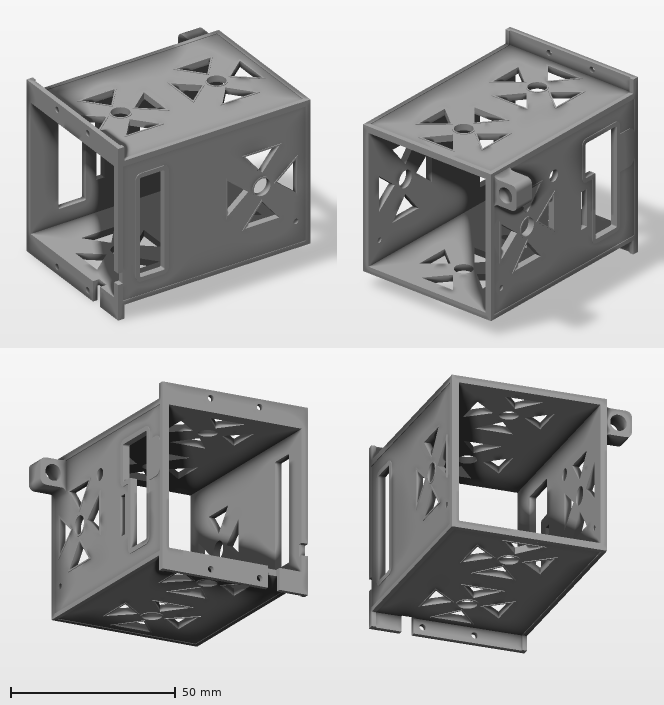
import cadquery as cq
import math


LENGTH = 70.0
TUBE = 50.6
OPENING = 46.1
FLANGE_HEIGHT = 60.35
FLANGE_THICKNESS = 2.25
FLANGE_HOLE_D = 2.0
FLANGE_HOLE_X = 8.5
FLANGE_HOLE_Z = 27.6

HALF_LENGTH = LENGTH / 2
HALF_TUBE = TUBE / 2
WALL = (TUBE - OPENING) / 2
OVERHANG = (FLANGE_HEIGHT - TUBE) / 2

NOTCH_WIDTH = 4.0
BOTTOM_NOTCH_X = 13.4
SIDE_NOTCH_Z = -15.7

RECESS_DEPTH = 0.2
END_RIM = 1.7
SIDE_RIM = 1.5
SIDE_PANEL_TOP_RIM = 1.95
RECESS_END = HALF_LENGTH - END_RIM

VENT_HOLE_D = 6.0
VENT_LIP = 0.5
VENT_BASE = 12.6
VENT_APEX = 5.1
VENT_HALF_WIDTH = 6.15
VENT_Y = LENGTH / 4

LOCATING_HOLE_D = 1.8
LOCATING_HOLE_Y = 29.9
LOCATING_HOLE_Z = -16.0
ROUND_HOLE_D = 4.0
ROUND_HOLE_Y = 4.8
ROUND_HOLE_Z = 12.4
SLOT_WIDTH = 2.9
SLOT_HEIGHT = 13.0
SLOT_Y = -9.6
SLOT_Z = -5.2

WINDOW_FRONT = -24.9
PLAIN_WINDOW_FRONT = -27.0
WINDOW_STEP = -14.85
WINDOW_BACK = -10.1
PLAIN_WINDOW_BACK = -18.05
WINDOW_TOP = 17.4
WINDOW_LEDGE = 5.4
WINDOW_BOTTOM = -17.6
WINDOW_CORNER_R = 0.5
WINDOW_LIP = 1.55

TAB_HEIGHT = 13.0
TAB_Z = 7.4
TAB_END_R = 2.6

LUG_REACH = 8.75
LUG_HEIGHT = 8.8
LUG_LENGTH = 7.35
LUG_Z = 18.8
LUG_HOLE_D = 5.3
LUG_HOLE_FROM_WALL = 4.35
LUG_R = 1.95
FLARE_R = 1.7


def block(x_range, y_range, z_range):
    """Box between the given limits."""
    sizes = [high - low for low, high in (x_range, y_range, z_range)]
    corner = (x_range[0], y_range[0], z_range[0])
    return cq.Workplane("XY").box(*sizes, centered=False).translate(corner)


def vent_pattern(lip=0.0):
    """Flat vent outlines around the origin, every edge moved outward by lip."""
    slant = math.hypot(VENT_BASE - VENT_APEX, VENT_HALF_WIDTH)
    apex = VENT_APEX - lip * slant / VENT_HALF_WIDTH
    base = VENT_BASE + lip
    half_width = (base - apex) * VENT_HALF_WIDTH / (VENT_BASE - VENT_APEX)
    triangle = [(0, apex), (half_width, base), (-half_width, base), (0, apex)]
    pattern = cq.Sketch().circle(VENT_HOLE_D / 2 + lip)
    for angle in (0, 90, 180, 270):
        turn = cq.Location((0, 0, 0), (0, 0, 1), angle)
        pattern = pattern.face(cq.Sketch().polygon(triangle).moved(turn))
    return pattern


def vents(plane, centers, lip=0.0):
    """Vent prisms crossing the whole tube at each centre."""
    return cq.Workplane(plane).pushPoints(centers).placeSketch(vent_pattern(lip)).extrude(TUBE, both=True)


def window(outline, lip=0.0):
    """Window prism crossing the whole tube along X, with a rounded outline grown by lip."""
    prism = cq.Workplane("YZ").polyline(outline).close().extrude(TUBE, both=True)
    prism = prism.edges("|X").fillet(WINDOW_CORNER_R)
    if lip == 0:
        return prism
    return prism.faces(">X").wires().toPending().offset2D(lip).extrude(-2 * TUBE, combine=False)


def tab():
    """Tab from the window to the front rim, rounded at its front corners."""
    heights = (TAB_Z - TAB_HEIGHT / 2, TAB_Z + TAB_HEIGHT / 2)
    prism = block((-TUBE, TUBE), (-RECESS_END, WINDOW_FRONT), heights)
    return prism.edges("|X and <Y").fillet(TAB_END_R)


def lug():
    """Lug with rounded outer corners, flared where it meets the recessed wall."""
    root = -HALF_TUBE + RECESS_DEPTH
    flare_start = root - FLARE_R
    tip = -HALF_TUBE - LUG_REACH
    top = LUG_Z + LUG_HEIGHT / 2
    bottom = LUG_Z - LUG_HEIGHT / 2
    embed = WALL / 2
    body = (
        cq.Workplane("XZ", origin=(0, RECESS_END, 0))
        .moveTo(root + embed, top + FLARE_R)
        .lineTo(root, top + FLARE_R)
        .radiusArc((flare_start, top), FLARE_R)
        .lineTo(tip + LUG_R, top)
        .radiusArc((tip, top - LUG_R), -LUG_R)
        .lineTo(tip, bottom + LUG_R)
        .radiusArc((tip + LUG_R, bottom), -LUG_R)
        .lineTo(flare_start, bottom)
        .radiusArc((root, bottom - FLARE_R), FLARE_R)
        .lineTo(root + embed, bottom - FLARE_R)
        .close()
        .extrude(LUG_LENGTH)
    )
    hole = (
        cq.Workplane("XZ", origin=(-HALF_TUBE - LUG_HOLE_FROM_WALL, RECESS_END, LUG_Z))
        .circle(LUG_HOLE_D / 2)
        .extrude(LUG_LENGTH)
    )
    return body.cut(hole)


stepped_window = [
    (WINDOW_FRONT, WINDOW_TOP),
    (WINDOW_BACK, WINDOW_TOP),
    (WINDOW_BACK, WINDOW_LEDGE),
    (WINDOW_STEP, WINDOW_LEDGE),
    (WINDOW_STEP, WINDOW_BOTTOM),
    (WINDOW_FRONT, WINDOW_BOTTOM),
]
plain_window = [
    (PLAIN_WINDOW_FRONT, WINDOW_TOP),
    (PLAIN_WINDOW_BACK, WINDOW_TOP),
    (PLAIN_WINDOW_BACK, WINDOW_BOTTOM),
    (PLAIN_WINDOW_FRONT, WINDOW_BOTTOM),
]
side_vents = [(VENT_Y, 0)]
top_vents = [(0, VENT_Y), (0, -VENT_Y)]

front_y = -HALF_LENGTH
flange_back = front_y + FLANGE_THICKNESS
tube_body = cq.Workplane("XY").box(TUBE, LENGTH, TUBE)
flange = block((-HALF_TUBE, HALF_TUBE), (front_y, flange_back), (-FLANGE_HEIGHT / 2, FLANGE_HEIGHT / 2))
bore = cq.Workplane("XY").box(OPENING, LENGTH, OPENING)
body = tube_body.union(flange).cut(bore)

along = (-RECESS_END, RECESS_END)
across = (-HALF_TUBE + SIDE_RIM, HALF_TUBE - SIDE_RIM)
upright = (-HALF_TUBE + SIDE_RIM, HALF_TUBE - SIDE_PANEL_TOP_RIM)
near = HALF_TUBE - RECESS_DEPTH
far = HALF_TUBE + OVERHANG
raised_vents = vents("XY", top_vents, VENT_LIP)
raised_side_vents = vents("YZ", side_vents, VENT_LIP)

for outward in ((near, far), (-far, -near)):
    body = body.cut(block(across, along, outward).cut(raised_vents))

left_recess = block((-far, -near), along, upright).cut(raised_side_vents)
left_recess = left_recess.cut(window(stepped_window, WINDOW_LIP)).cut(tab())
right_recess = block((near, far), along, upright).cut(raised_side_vents)
right_recess = right_recess.cut(window(plain_window, WINDOW_LIP))
body = body.cut(left_recess).cut(right_recess)

locating_hole = (
    cq.Workplane("YZ")
    .center(LOCATING_HOLE_Y, LOCATING_HOLE_Z)
    .circle(LOCATING_HOLE_D / 2)
    .extrude(TUBE, both=True)
)
body = body.cut(vents("XY", top_vents)).cut(vents("YZ", side_vents)).cut(locating_hole)

left_half = block((-TUBE, 0), (front_y, HALF_LENGTH), (-HALF_TUBE, HALF_TUBE))
right_half = block((0, TUBE), (front_y, HALF_LENGTH), (-HALF_TUBE, HALF_TUBE))
round_hole = cq.Workplane("YZ").center(ROUND_HOLE_Y, ROUND_HOLE_Z).circle(ROUND_HOLE_D / 2).extrude(-TUBE)
slot = cq.Workplane("YZ").center(SLOT_Y, SLOT_Z).rect(SLOT_WIDTH, SLOT_HEIGHT).extrude(-TUBE)
body = body.cut(round_hole).cut(slot)
body = body.cut(window(stepped_window).intersect(left_half))
body = body.cut(window(plain_window).intersect(right_half))

flange_holes = (
    cq.Workplane("XZ", origin=(0, flange_back, 0))
    .rect(2 * FLANGE_HOLE_X, 2 * FLANGE_HOLE_Z, forConstruction=True)
    .vertices()
    .circle(FLANGE_HOLE_D / 2)
    .extrude(FLANGE_THICKNESS)
)
body = body.cut(flange_holes)

half_notch = NOTCH_WIDTH / 2
bottom_notch = block(
    (BOTTOM_NOTCH_X - half_notch, BOTTOM_NOTCH_X + half_notch),
    (front_y, flange_back),
    (-FLANGE_HEIGHT / 2, 0),
)
side_notch = block(
    (0, HALF_TUBE),
    (front_y, -RECESS_END),
    (SIDE_NOTCH_Z - half_notch, SIDE_NOTCH_Z + half_notch),
)
body = body.cut(bottom_notch).cut(side_notch)

result = body.union(lug())